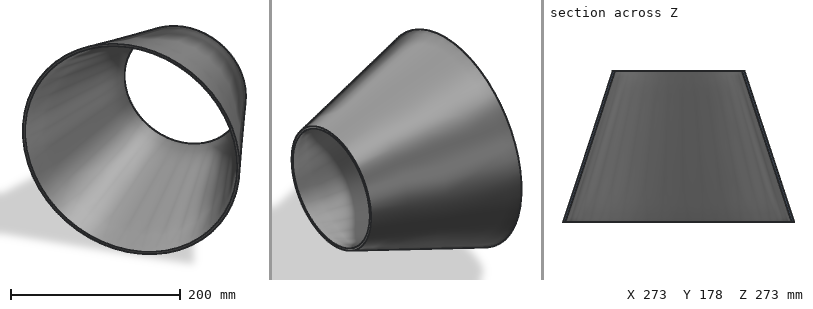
import cadquery as cq
import math

large_diameter = 273.0
small_diameter = 156.0
length = 178.0
wall = 3.0

large_radius = large_diameter / 2
small_radius = small_diameter / 2

half_angle = math.atan((large_radius - small_radius) / length)
radial_wall = wall / math.cos(half_angle)

wide_end_y = -length / 2
narrow_end_y = length / 2

wall_section = (
    cq.Workplane("XY")
    .moveTo(large_radius - radial_wall, wide_end_y)
    .lineTo(large_radius, wide_end_y)
    .lineTo(small_radius, narrow_end_y)
    .lineTo(small_radius - radial_wall, narrow_end_y)
    .close()
)

result = wall_section.revolve(360, (0, 0, 0), (0, 1, 0))